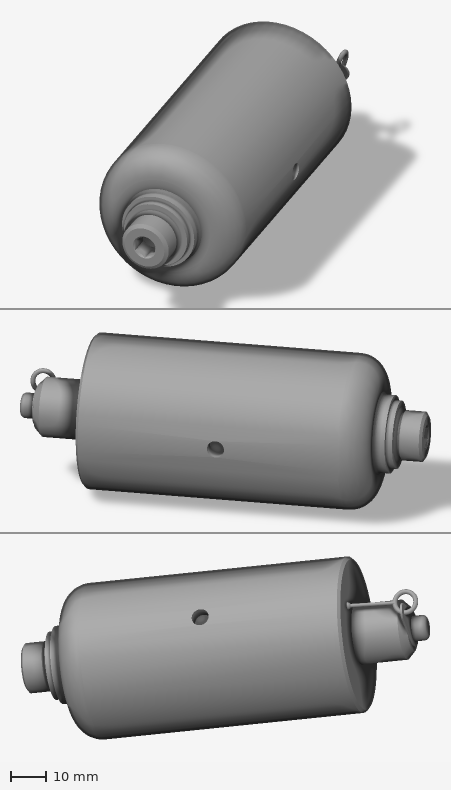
import cadquery as cq
import math

LENGTH = 117.0

BODY_RADIUS = 22.2
BODY_FRONT = 13.2
BODY_REAR = 96.8
BODY_FILLET = 7.6
BODY_REAR_CHAMFER = 0.8

TIP_RADIUS = 6.1
TIP_CHAMFER_LENGTH = 0.7
THREAD_RADIUS = 7.1
THREAD_END = 6.3
NECK_RADIUS = 6.4
NECK_FRONT = 6.8
NECK_REAR = 7.1
NECK_CONE_RADIUS = 7.8
COLLAR_FRONT = 7.8
COLLAR_RADIUS = 9.7
FLANGE_FRONT = 9.7
FLANGE_RADIUS = 11.1
FLANGE_REAR = 12.3
FLARE_START = 12.6
FLARE_START_RADIUS = 11.2
FLARE_END_RADIUS = 11.8

BOSS_RADIUS = 8.5
BOSS_REAR = 112.3
BOSS_CHAMFER = 2.1
PIN_RADIUS = 3.6
PIN_ROUNDING = 1.4

SOCKET_MOUTH_RADIUS = 3.5
SOCKET_ACROSS_FLATS = 6.0
SOCKET_DEPTH = 5.9
SOCKET_SIDES = 6
SOCKET_TIP_RADIUS = 0.8
SOCKET_BOTTOM_SLOPE = 30.0
SIDE_HOLE_RADIUS = 2.5
SIDE_HOLE_POSITION = 56.2
SIDE_HOLE_DEPTH = 4.0

TAB_THICKNESS = 0.6
TAB_HUB_RADIUS = 5.1
TAB_END_RADIUS = 2.6
RING_X = 11.7
RING_OUTER_RADIUS = 3.7
RING_WIRE_RADIUS = 0.7
RING_LEAN = 10.0
CABLE_RADIUS = 0.53
CABLE_START_X = 11.9
CABLE_FOOT_X = 13.1
ANCHOR_RADIUS = 1.0

RING_RADIUS = RING_OUTER_RADIUS - RING_WIRE_RADIUS
RING_Y = LENGTH - RING_OUTER_RADIUS
RING_Z = RING_RADIUS

QUARTER_ROUND_INSET = 1 - math.sqrt(0.5)

AXIS = cq.Vector(0, 1, 0)


def turned_body():
    """Half outline in the XY plane, revolved about Y."""
    fillet_offset = BODY_FILLET * QUARTER_ROUND_INSET
    pin_offset = PIN_ROUNDING * QUARTER_ROUND_INSET
    outline = (
        cq.Workplane("XY")
        .moveTo(0, 0)
        .lineTo(TIP_RADIUS, 0)
        .lineTo(THREAD_RADIUS, TIP_CHAMFER_LENGTH)
        .lineTo(THREAD_RADIUS, THREAD_END)
        .lineTo(NECK_RADIUS, NECK_FRONT)
        .lineTo(NECK_RADIUS, NECK_REAR)
        .lineTo(NECK_CONE_RADIUS, COLLAR_FRONT)
        .lineTo(COLLAR_RADIUS, COLLAR_FRONT)
        .lineTo(COLLAR_RADIUS, FLANGE_FRONT)
        .lineTo(FLANGE_RADIUS, FLANGE_FRONT)
        .lineTo(FLANGE_RADIUS, FLANGE_REAR)
        .lineTo(FLARE_START_RADIUS, FLARE_START)
        .lineTo(FLARE_END_RADIUS, BODY_FRONT)
        .lineTo(BODY_RADIUS - BODY_FILLET, BODY_FRONT)
        .threePointArc(
            (BODY_RADIUS - fillet_offset, BODY_FRONT + fillet_offset),
            (BODY_RADIUS, BODY_FRONT + BODY_FILLET),
        )
        .lineTo(BODY_RADIUS, BODY_REAR - BODY_REAR_CHAMFER)
        .lineTo(BODY_RADIUS - BODY_REAR_CHAMFER, BODY_REAR)
        .lineTo(BOSS_RADIUS, BODY_REAR)
        .lineTo(BOSS_RADIUS, BOSS_REAR - BOSS_CHAMFER)
        .lineTo(BOSS_RADIUS - BOSS_CHAMFER, BOSS_REAR)
        .lineTo(PIN_RADIUS, BOSS_REAR)
        .lineTo(PIN_RADIUS, LENGTH - PIN_ROUNDING)
        .threePointArc(
            (PIN_RADIUS - pin_offset, LENGTH - pin_offset),
            (PIN_RADIUS - PIN_ROUNDING, LENGTH),
        )
        .lineTo(0, LENGTH)
        .close()
    )
    return outline.revolve(360, (0, 0, 0), (0, 1, 0))


def hex_socket():
    """Hexagonal socket in the front tip: chamfered mouth, flats facing +X and -X, conical bottom."""
    flat_radius = SOCKET_ACROSS_FLATS / 2
    corner_radius = flat_radius / math.cos(math.pi / SOCKET_SIDES)
    hexagon = (
        cq.Workplane("XZ")
        .transformed(rotate=(0, 0, 90))
        .polygon(SOCKET_SIDES, 2 * corner_radius)
        .extrude(-SOCKET_DEPTH)
    )
    mouth_depth = SOCKET_MOUTH_RADIUS - flat_radius
    mouth = cq.Solid.makeCone(
        SOCKET_MOUTH_RADIUS, flat_radius, mouth_depth, cq.Vector(0, 0, 0), AXIS
    )
    cone_depth = (flat_radius - SOCKET_TIP_RADIUS) * math.tan(math.radians(SOCKET_BOTTOM_SLOPE))
    bottom = cq.Solid.makeCone(
        flat_radius, SOCKET_TIP_RADIUS, cone_depth, cq.Vector(0, SOCKET_DEPTH, 0), AXIS
    )
    return hexagon.union(cq.Workplane(mouth)).union(cq.Workplane(bottom))


def side_hole(side):
    """Blind radial hole; side is +1 for the +X side of the body and -1 for the -X side."""
    return cq.Workplane(cq.Solid.makeCylinder(
        SIDE_HOLE_RADIUS,
        SIDE_HOLE_DEPTH,
        cq.Vector(side * BODY_RADIUS, SIDE_HOLE_POSITION, 0),
        cq.Vector(-side, 0, 0),
    ))


def tether_tab():
    """Flat plate: a hub around the pin tapering tangentially to a rounded end."""
    tangent_cos = (TAB_HUB_RADIUS - TAB_END_RADIUS) / RING_X
    tangent_sin = math.sqrt(1 - tangent_cos ** 2)
    hub_x = TAB_HUB_RADIUS * tangent_cos
    hub_z = TAB_HUB_RADIUS * tangent_sin
    end_x = RING_X + TAB_END_RADIUS * tangent_cos
    end_z = TAB_END_RADIUS * tangent_sin
    return (
        cq.Workplane("XZ", origin=(0, BOSS_REAR, 0))
        .moveTo(hub_x, hub_z)
        .threePointArc((-TAB_HUB_RADIUS, 0), (hub_x, -hub_z))
        .lineTo(end_x, -end_z)
        .threePointArc((RING_X + TAB_END_RADIUS, 0), (end_x, end_z))
        .close()
        .extrude(-TAB_THICKNESS)
    )


def tether_ring():
    """Wire ring whose plane contains the Y direction and leans toward +X at the top."""
    lean = math.radians(RING_LEAN)
    normal = cq.Vector(math.cos(lean), 0, -math.sin(lean))
    center = cq.Vector(RING_X, RING_Y, RING_Z)
    return cq.Workplane(cq.Solid.makeTorus(RING_RADIUS, RING_WIRE_RADIUS, center, normal))


def tether_cable():
    """Straight cable from the front of the ring down to a rounded anchor on the body."""
    start = cq.Vector(CABLE_START_X, RING_Y - RING_RADIUS, RING_Z)
    foot = cq.Vector(CABLE_FOOT_X, BODY_REAR, RING_Z)
    run = foot - start
    cable = cq.Solid.makeCylinder(CABLE_RADIUS, run.Length, start, run)
    anchor = cq.Workplane("XY").sphere(ANCHOR_RADIUS).translate(foot)
    return anchor.union(cq.Workplane(cable))


result = (
    turned_body()
    .cut(hex_socket())
    .cut(side_hole(-1))
    .cut(side_hole(1))
    .union(tether_tab())
    .union(tether_cable())
    .union(tether_ring())
)